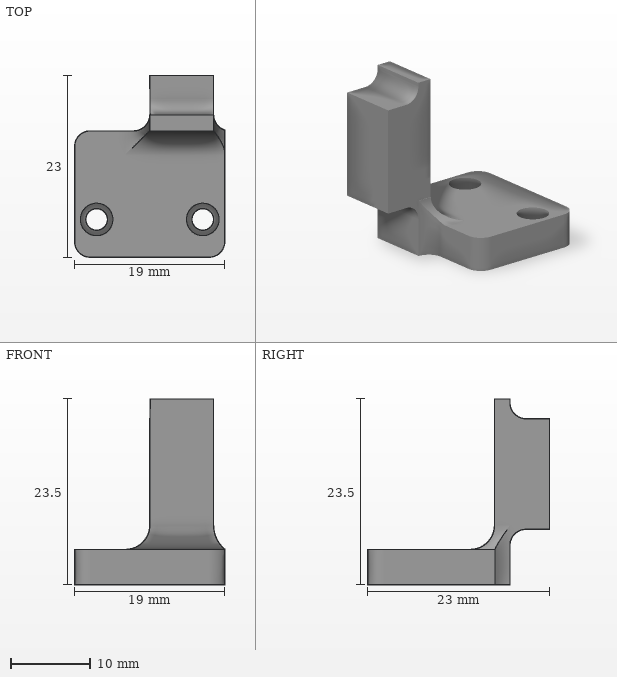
import cadquery as cq
import math

base_width = 19.0
base_depth = 16.0
base_height = 4.5
corner_radius = 2.0

hole_diameter = 2.7
counterbore_diameter = 4.11
counterbore_depth = 2.6
hole_edge_x = 2.8
hole_y = 4.8

total_height = 23.5
total_depth = 23.0
post_left = 9.5
post_front_left = 9.56
post_right = 17.6
wall_thickness = 2.0
block_bottom = 7.0
block_top = 21.0
block_radius = 2.0

flare_radius = 3.0
neck_radius = 2.0

wall_back = base_depth + wall_thickness
flare_top = base_height + flare_radius
diagonal = math.sqrt(0.5)


def concave_arc(sketch, center, radius, toward, end):
    """Draw a quarter arc whose middle lies diagonally from its center."""
    middle = (
        center[0] + toward[0] * radius * diagonal,
        center[1] + toward[1] * radius * diagonal,
    )
    return sketch.threePointArc(middle, end)


def make_plate():
    plate = cq.Workplane("XY").box(base_width, base_depth, base_height, centered=False)
    plate = plate.edges("|Z and (<X or <Y)").fillet(corner_radius)
    return plate


def make_neck():
    """Flared foot of the post: side profile, front profile and plan, intersected."""
    right_run = base_width - post_right
    right_radius = (right_run**2 + flare_radius**2) / (2 * right_run)
    right_angle = math.asin(flare_radius / right_radius) / 2
    right_middle = (
        post_right + right_radius * (1 - math.cos(right_angle)),
        flare_top - right_radius * math.sin(right_angle),
    )
    across = cq.Workplane("XZ").moveTo(post_left - flare_radius, 0)
    across = across.lineTo(post_left - flare_radius, base_height)
    across = concave_arc(
        across, (post_left - flare_radius, flare_top), flare_radius, (1, -1), (post_left, flare_top)
    )
    across = across.lineTo(post_right, flare_top).threePointArc(right_middle, (base_width, base_height))
    across = across.lineTo(base_width, 0).close().extrude(-total_depth)

    flare_front = base_depth - flare_radius
    along = cq.Workplane("YZ").moveTo(flare_front, 0).lineTo(flare_front, base_height)
    along = concave_arc(along, (flare_front, flare_top), flare_radius, (1, -1), (base_depth, flare_top))
    along = along.lineTo(wall_back, flare_top).lineTo(wall_back, 0).close().extrude(base_width)

    neck_right_center = post_right + neck_radius
    arc_y = wall_back - math.sqrt(neck_radius**2 - (neck_right_center - base_width) ** 2)
    half_angle = math.acos((neck_right_center - base_width) / neck_radius) / 2
    right_plan_middle = (
        neck_right_center - neck_radius * math.cos(half_angle),
        wall_back - neck_radius * math.sin(half_angle),
    )
    plan = cq.Workplane("XY").moveTo(0, 0).lineTo(0, base_depth)
    plan = plan.lineTo(post_left - neck_radius, base_depth)
    plan = concave_arc(
        plan, (post_left - neck_radius, wall_back), neck_radius, (1, -1), (post_left, wall_back)
    )
    plan = plan.lineTo(post_right, wall_back).threePointArc(right_plan_middle, (base_width, arc_y))
    plan = plan.lineTo(base_width, 0).close().extrude(flare_top)
    return across.intersect(along).intersect(plan)


def make_post():
    arc_back = wall_back + block_radius
    side = cq.Workplane("YZ").moveTo(base_depth, base_height).lineTo(base_depth, total_height)
    side = side.lineTo(wall_back, total_height).lineTo(wall_back, block_top + block_radius)
    side = concave_arc(
        side, (arc_back, block_top + block_radius), block_radius, (-1, -1), (arc_back, block_top)
    )
    side = side.lineTo(total_depth, block_top).lineTo(total_depth, block_bottom)
    side = side.lineTo(arc_back, block_bottom)
    side = concave_arc(
        side,
        (arc_back, block_bottom - block_radius),
        block_radius,
        (-1, 1),
        (wall_back, block_bottom - block_radius),
    )
    side = side.lineTo(wall_back, base_height).close().extrude(base_width)
    plan_corners = [
        (post_front_left, base_depth),
        (post_right, base_depth),
        (post_right, total_depth),
        (post_left, total_depth),
    ]
    plan = cq.Workplane("XY").polyline(plan_corners).close().extrude(total_height)
    return side.intersect(plan)


result = make_plate().union(make_neck()).union(make_post())

hole_places = [(hole_edge_x, hole_y), (base_width - hole_edge_x, hole_y)]
result = (
    result.copyWorkplane(cq.Workplane("XY", origin=(0, 0, base_height)))
    .pushPoints(hole_places)
    .cboreHole(hole_diameter, counterbore_diameter, counterbore_depth)
)